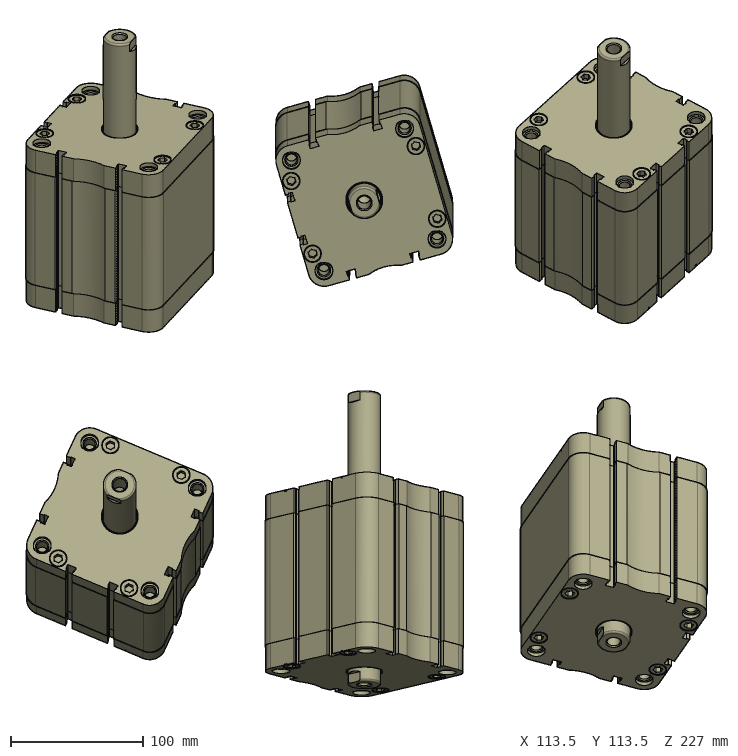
import cadquery as cq
import math


total_length = 227.0
lower_cap_bottom = 10.2
cap_height = 19.5
barrel_length = 97.5
barrel_bottom = lower_cap_bottom + cap_height
barrel_top = barrel_bottom + barrel_length
upper_cap_top = barrel_top + cap_height

side = 113.5
half_side = side / 2
corner_radius = 12.3
cap_inset = 0.35

hollow_half_width = 13.6
hollow_depth = 2.7

slot_mouth_width = 5.5
slot_groove_width = 6.8
side_slot_offset = 25.0
side_slot_mouth_depth = 3.9
side_slot_depth = 7.3
left_slot_offset = 17.3
left_slot_mouth_depth = 3.0
left_slot_depth = 6.1

rod_diameter = 25.0
rod_edge_rounding = 1.48
rod_flat_distance = 22.0
rod_flat_length = 7.3
rod_flat_runout = 1.02
rod_hole_diameter = 10.2
rod_hole_mouth_diameter = 12.0
rod_hole_depth = 22.7
drill_tip_angle = 118.0

rod_clearance_diameter = 25.7
rod_recess_diameter = 27.0
rod_recess_mouth_diameter = 28.0
rod_recess_depth = 1.0

corner_hole_offset = 44.5
corner_bore_diameter = 13.5
corner_bore_depth = 3.2
corner_hole_diameter = 8.5
corner_hole_mouth_diameter = 10.2
corner_hole_depth = 18.2

screw_x = 49.0
screw_y = 29.3
screw_pocket_diameter = 13.2
screw_pocket_depth = 1.0
screw_head_recess = 0.35
screw_head_diameter = 13.0
screw_head_chamfer = 0.35
hexagon_width = 6.1
hexagon_depth = 4.5


def box(x_range, y_range, z_range):
    """Block that fills the given ranges along X, Y and Z."""
    sizes = [high - low for low, high in (x_range, y_range, z_range)]
    return cq.Workplane().box(*sizes, centered=False).translate((x_range[0], y_range[0], z_range[0]))


def cylinder(diameter, bottom, height):
    """Upright cylinder on the Z axis."""
    return cq.Workplane().workplane(offset=bottom).circle(diameter / 2).extrude(height)


def cone(bottom_diameter, top_diameter, bottom, height):
    """Upright cone or cone frustum on the Z axis."""
    solid = cq.Solid.makeCone(bottom_diameter / 2, top_diameter / 2, height, cq.Vector(0, 0, bottom))
    return cq.Workplane(solid)


def slot(offset, mouth_depth, full_depth, z_range):
    """Cutter for a slot in the side that faces +Y."""
    mouth_half = slot_mouth_width / 2
    groove_half = slot_groove_width / 2
    groove_top = half_side - mouth_depth
    groove_bottom = half_side - full_depth
    mouth = box((offset - mouth_half, offset + mouth_half), (groove_bottom, half_side), z_range)
    groove = box((offset - groove_half, offset + groove_half), (groove_bottom, groove_top), z_range)
    return mouth.union(groove)


def hollow(z_range):
    """Cutter for the shallow round hollow in the side that faces +Y."""
    radius = (hollow_half_width**2 + hollow_depth**2) / (2 * hollow_depth)
    centre_y = half_side - hollow_depth + radius
    return cylinder(2 * radius, z_range[0], z_range[1] - z_range[0]).translate((0, centre_y, 0))


def slotted_block(inset, bottom, height):
    """Rounded square block with slots and hollows; its four sides stand back by the inset."""
    z_range = (bottom, bottom + height)
    half = half_side - inset
    block = box((-half, half), (-half, half), z_range).edges("|Z").fillet(corner_radius)

    front_back_cutters = [hollow(z_range)]
    left_cutters = []
    for sign in (-1, 1):
        side_slot = slot(sign * side_slot_offset, side_slot_mouth_depth, side_slot_depth, z_range)
        front_back_cutters.append(side_slot)
        left_slot = slot(sign * left_slot_offset, left_slot_mouth_depth, left_slot_depth, z_range)
        left_cutters.append(left_slot)
    for cutter in front_back_cutters:
        block = block.cut(cutter).cut(cutter.mirror("XZ"))
    for cutter in left_cutters:
        block = block.cut(cutter.rotate((0, 0, 0), (0, 0, 1), 90))
    return block


def make_barrel():
    """Middle body with a plain bore for the rod."""
    barrel = slotted_block(0, barrel_bottom, barrel_length)
    return barrel.cut(cylinder(rod_diameter, barrel_bottom, barrel_length))


def rod_opening():
    """Cutter for the clearance hole of the rod in the upper cap and its chamfered recess."""
    chamfer = (rod_recess_mouth_diameter - rod_recess_diameter) / 2
    hole = cylinder(rod_clearance_diameter, barrel_top, cap_height)
    recess = cylinder(rod_recess_diameter, upper_cap_top - rod_recess_depth, rod_recess_depth)
    mouth = cone(rod_recess_diameter, rod_recess_mouth_diameter, upper_cap_top - chamfer, chamfer)
    return hole.union(recess).union(mouth)


def corner_hole():
    """Cutter for a blind fixing hole with a counterbore and a countersunk shoulder."""
    shoulder = upper_cap_top - corner_bore_depth
    countersink = (corner_hole_mouth_diameter - corner_hole_diameter) / 2
    bore = cylinder(corner_bore_diameter, shoulder, corner_bore_depth)
    hole = cylinder(corner_hole_diameter, upper_cap_top - corner_hole_depth, corner_hole_depth)
    mouth = cone(corner_hole_diameter, corner_hole_mouth_diameter, shoulder - countersink, countersink)
    return bore.union(hole).union(mouth)


def screw_imprint():
    """Cutter that leaves a chamfered screw head with a hexagon socket inside a shallow pocket."""
    pocket_floor = upper_cap_top - screw_pocket_depth
    head_top = upper_cap_top - screw_head_recess
    pocket = cylinder(screw_pocket_diameter, pocket_floor, screw_pocket_depth)
    head = cylinder(screw_head_diameter, pocket_floor, head_top - pocket_floor)
    head = head.faces(">Z").chamfer(screw_head_chamfer)
    corner_to_corner = hexagon_width / math.cos(math.pi / 6)
    socket = (
        cq.Workplane()
        .workplane(offset=head_top - hexagon_depth)
        .transformed(rotate=(0, 0, 90))
        .polygon(6, corner_to_corner)
        .extrude(hexagon_depth)
    )
    return pocket.cut(head).union(socket)


def make_upper_cap():
    """End cap with the rod opening, four fixing holes and four screw heads."""
    cap = slotted_block(cap_inset, barrel_top, cap_height).cut(rod_opening())
    for x_sign in (-1, 1):
        for y_sign in (-1, 1):
            hole_place = (x_sign * corner_hole_offset, y_sign * corner_hole_offset, 0)
            screw_place = (x_sign * screw_x, y_sign * screw_y, 0)
            cap = cap.cut(corner_hole().translate(hole_place))
            cap = cap.cut(screw_imprint().translate(screw_place))
    return cap


def make_lower_cap():
    """Mirror image of the upper cap below the barrel."""
    middle = barrel_bottom + barrel_length / 2
    return make_upper_cap().mirror("XY", (0, 0, middle))


def rod_end_cut():
    """Cutter for the upper rod end: two wrench flats with sloping run-outs and a drilled hole."""
    radius = rod_diameter / 2
    flat_x = rod_flat_distance / 2
    flat_bottom = total_length - rod_flat_length
    side_cut = (
        cq.Workplane("XZ")
        .polyline(
            [
                (flat_x, total_length),
                (flat_x, flat_bottom),
                (radius, flat_bottom - rod_flat_runout),
                (radius, total_length),
            ]
        )
        .close()
        .extrude(radius, both=True)
    )
    hole_bottom = total_length - rod_hole_depth
    tip_height = rod_hole_diameter / 2 / math.tan(math.radians(drill_tip_angle / 2))
    countersink = (rod_hole_mouth_diameter - rod_hole_diameter) / 2
    hole = cylinder(rod_hole_diameter, hole_bottom, rod_hole_depth)
    tip = cone(0, rod_hole_diameter, hole_bottom - tip_height, tip_height)
    mouth = cone(rod_hole_diameter, rod_hole_mouth_diameter, total_length - countersink, countersink)
    return side_cut.union(side_cut.mirror("YZ")).union(hole).union(tip).union(mouth)


def make_rod():
    """Through rod with the same flats and drilled hole at both ends."""
    rod = cylinder(rod_diameter, 0, total_length).edges("%CIRCLE").fillet(rod_edge_rounding)
    end_cut = rod_end_cut()
    return rod.cut(end_cut).cut(end_cut.mirror("XY", (0, 0, total_length / 2)))


barrel = make_barrel()
upper_cap = make_upper_cap()
lower_cap = make_lower_cap()
rod = make_rod()

result = cq.Compound.makeCompound([barrel.val(), upper_cap.val(), lower_cap.val(), rod.val()])